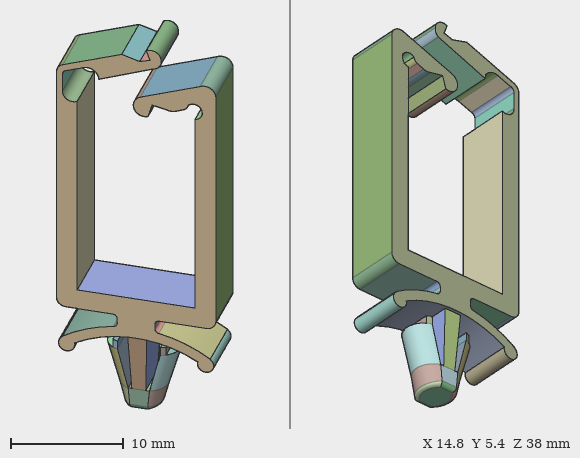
import cadquery as cq
import math

WIDTH = 14.8
DEPTH = 5.4
HEIGHT = 38.0

WALL = 1.95
FRAME_BOTTOM = 10.05
FRAME_FLOOR = FRAME_BOTTOM + WALL
WALL_TOP = 31.55
CORNER_RADIUS = 0.87
HALF_WIDTH = WIDTH / 2
INNER_HALF = HALF_WIDTH - WALL
HINGE_THICKNESS = 0.57
HINGE_INNER = HALF_WIDTH - HINGE_THICKNESS

HOOK_RADIUS = 0.9
HOOK_X = 1.4
HOOK_TIP_X = 0.95

NECK_HALF = 1.75
NECK_FILLET = 0.4
WING_INNER_RADIUS = 11.65
WING_THICKNESS = 1.03
WING_CENTRE_Z = -3.75
WING_INSET = 0.2
WING_TIP_RADIUS = 0.75
WING_TIP_X = HALF_WIDTH - WING_INSET - WING_TIP_RADIUS
WING_TIP_Z = 6.25

ANCHOR_HALF_DEPTH = 1.85
NOSE_Z, NOSE_FLAT, NOSE_REACH = 0.0, 0.8, 1.67
ROOT_Z, ROOT_FLAT, ROOT_REACH = 2.1, 1.0, 2.25
BARB_Z, BARB_FLAT, BARB_REACH = 5.95, 1.98, 3.4
NOSE_ROUND = 0.4
PEG_WIDTH = 0.5
PEG_HEIGHT = 0.8

STEM_TOP_Z = 8.35
STEM_TOP_HALF, STEM_TOP_HALF_DEPTH = 0.9, 2.4
STEM_ROOT_HALF = 0.65


def make_frame():
    """Frame with a hinged hook at the upper left and a matching catch at the right."""
    corner_mid = CORNER_RADIUS * (1 - math.sqrt(0.5))
    hook_z = HEIGHT - HOOK_RADIUS
    hook_tip_z = hook_z + math.sqrt(HOOK_RADIUS**2 - (HOOK_X - HOOK_TIP_X) ** 2)
    outline = (
        cq.Workplane("XZ", origin=(0, DEPTH / 2, 0))
        .moveTo(HALF_WIDTH - CORNER_RADIUS, FRAME_BOTTOM)
        .lineTo(-HALF_WIDTH + CORNER_RADIUS, FRAME_BOTTOM)
        .threePointArc(
            (-HALF_WIDTH + corner_mid, FRAME_BOTTOM + corner_mid),
            (-HALF_WIDTH, FRAME_BOTTOM + CORNER_RADIUS),
        )
        .lineTo(-HALF_WIDTH, 34.3)
        .threePointArc((-7.22, 34.8), (-6.8, 35.1))
        .lineTo(-1.33, 37.13)
        .lineTo(0.35, 36.67)
        .lineTo(1.3, 36.97)
        .lineTo(HOOK_TIP_X, hook_tip_z)
        .threePointArc((HOOK_X, HEIGHT), (HOOK_X + HOOK_RADIUS, hook_z))
        .threePointArc((2.25, 36.55), (1.98, 36.25))
        .lineTo(-3.45, 34.15)
        .threePointArc((-3.9, 35.0), (-4.95, 35.1))
        .lineTo(-6.42, 34.58)
        .threePointArc((-6.73, 34.4), (-HINGE_INNER, 34.12))
        .lineTo(-HINGE_INNER, 32.4)
        .threePointArc((-6.4, 31.58), (-INNER_HALF, WALL_TOP))
        .lineTo(-INNER_HALF, FRAME_FLOOR)
        .lineTo(INNER_HALF, FRAME_FLOOR)
        .lineTo(INNER_HALF, WALL_TOP)
        .threePointArc((6.05, 32.68), (4.83, 32.87))
        .threePointArc((4.7, 32.6), (4.45, 32.38))
        .lineTo(3.7, 32.07)
        .threePointArc((3.25, 32.0), (2.85, 32.07))
        .lineTo(1.5, 32.35)
        .lineTo(1.1, 31.1)
        .threePointArc((-0.23, 31.75), (0.38, 33.0))
        .lineTo(5.93, 35.05)
        .threePointArc((6.95, 34.95), (HALF_WIDTH, 34.2))
        .lineTo(HALF_WIDTH, FRAME_BOTTOM + CORNER_RADIUS)
        .threePointArc(
            (HALF_WIDTH - corner_mid, FRAME_BOTTOM + corner_mid),
            (HALF_WIDTH - CORNER_RADIUS, FRAME_BOTTOM),
        )
        .close()
    )
    return outline.extrude(DEPTH)


def make_neck():
    """Block between frame and wings, overlapping both."""
    bottom = WING_CENTRE_Z + WING_INNER_RADIUS + WING_THICKNESS / 2
    height = FRAME_BOTTOM + WALL / 2 - bottom
    return cq.Workplane("XY").workplane(offset=bottom).rect(2 * NECK_HALF, DEPTH).extrude(height)


def make_wings():
    """Concentric arc band ending in the middle of the round wing tips."""
    outer_radius = WING_INNER_RADIUS + WING_THICKNESS
    half_angle = math.atan2(WING_TIP_X, WING_TIP_Z - WING_CENTRE_Z)

    def on_arc(radius, angle):
        return radius * math.sin(angle), WING_CENTRE_Z + radius * math.cos(angle)

    band = (
        cq.Workplane("XZ", origin=(0, DEPTH / 2, 0))
        .moveTo(*on_arc(outer_radius, -half_angle))
        .threePointArc(on_arc(outer_radius, 0), on_arc(outer_radius, half_angle))
        .lineTo(*on_arc(WING_INNER_RADIUS, half_angle))
        .threePointArc(on_arc(WING_INNER_RADIUS, 0), on_arc(WING_INNER_RADIUS, -half_angle))
        .close()
        .extrude(DEPTH)
    )
    tips = (
        cq.Workplane("XZ", origin=(0, DEPTH / 2, 0))
        .pushPoints([(-WING_TIP_X, WING_TIP_Z), (WING_TIP_X, WING_TIP_Z)])
        .circle(WING_TIP_RADIUS)
        .extrude(DEPTH)
    )
    return band.union(tips)


def make_clip():
    """Frame, neck and wings, with the four neck corners rounded."""
    clip = make_frame().union(make_neck()).union(make_wings())
    margin = 0.05
    neck_corners = cq.selectors.BoxSelector(
        (-NECK_HALF - margin, -DEPTH, WING_TIP_Z),
        (NECK_HALF + margin, DEPTH, FRAME_BOTTOM + margin),
    )
    return clip.edges("|Y").edges(neck_corners).fillet(NECK_FILLET)


def make_nose():
    """Solid tip of the anchor with a rounded lower rim."""
    def section(plane, flat, reach):
        return (
            plane.moveTo(-flat, -ANCHOR_HALF_DEPTH)
            .lineTo(flat, -ANCHOR_HALF_DEPTH)
            .threePointArc((reach, 0), (flat, ANCHOR_HALF_DEPTH))
            .lineTo(-flat, ANCHOR_HALF_DEPTH)
            .threePointArc((-reach, 0), (-flat, -ANCHOR_HALF_DEPTH))
            .close()
        )

    lower = section(cq.Workplane("XY").workplane(offset=NOSE_Z), NOSE_FLAT, NOSE_REACH)
    upper = section(lower.workplane(offset=ROOT_Z - NOSE_Z), ROOT_FLAT, ROOT_REACH)
    return upper.loft(ruled=True).faces("<Z").edges().fillet(NOSE_ROUND)


def make_barb():
    """Right-hand spring arm with a thin peg on its free end."""
    def section(plane, flat, reach):
        return (
            plane.moveTo(flat, -ANCHOR_HALF_DEPTH)
            .threePointArc((reach, 0), (flat, ANCHOR_HALF_DEPTH))
            .close()
        )

    lower = section(cq.Workplane("XY").workplane(offset=ROOT_Z), ROOT_FLAT, ROOT_REACH)
    arm = section(lower.workplane(offset=BARB_Z - ROOT_Z), BARB_FLAT, BARB_REACH).loft(ruled=True)

    peg_plane = cq.Workplane("XY").workplane(offset=BARB_Z)
    arm_end = section(peg_plane, BARB_FLAT, BARB_REACH).extrude(PEG_HEIGHT)
    strip = (
        peg_plane.center(BARB_FLAT + PEG_WIDTH / 2, 0)
        .rect(PEG_WIDTH, 2 * ANCHOR_HALF_DEPTH)
        .extrude(PEG_HEIGHT)
    )
    return arm.union(arm_end.intersect(strip))


def make_stem():
    """Tapered web from the wings down to the nose."""
    return (
        cq.Workplane("XY")
        .workplane(offset=ROOT_Z)
        .rect(2 * STEM_ROOT_HALF, 2 * ANCHOR_HALF_DEPTH)
        .workplane(offset=STEM_TOP_Z - ROOT_Z)
        .rect(2 * STEM_TOP_HALF, 2 * STEM_TOP_HALF_DEPTH)
        .loft(ruled=True)
    )


right_barb = make_barb()
left_barb = right_barb.mirror("YZ")
anchor = make_nose().union(right_barb).union(left_barb).union(make_stem())
result = make_clip().union(anchor)